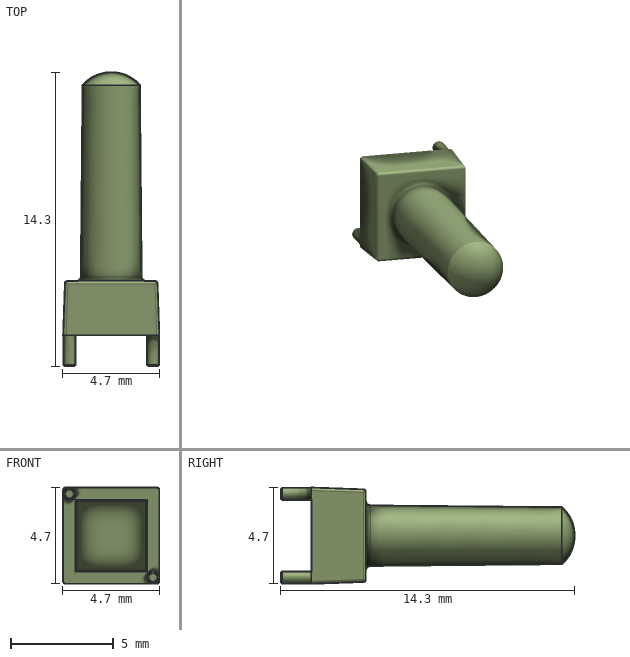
import cadquery as cq
import math

total_length = 14.35
pin_length = 1.5
block_depth = 2.65
block_side = 4.7
block_edge_radius = 0.15
draft_angle = 2.0

pocket_side = 3.5
pocket_depth = 2.15

shaft_tip_radius = 1.4
shaft_base_radius = 1.49
shaft_root_fillet = 0.2
dome_height = 0.65

pin_radius = 0.3
pin_offset = 2.04
pin_tip_chamfer = 0.09

shaft_end = total_length - pin_length
dome_start = shaft_end - dome_height


def drafted_square(side, depth):
    """Square prism from Y = 0 towards +Y, narrowing with the draft angle."""
    start = cq.Workplane("XZ").rect(side, side)
    return start.extrude(-depth, taper=draft_angle)


def make_block():
    block = drafted_square(block_side, block_depth)
    block = block.edges("not(|X or |Z)").fillet(block_edge_radius)
    return block.faces(">Y").edges().fillet(block_edge_radius)


def make_shaft():
    """Tapered round shaft with a domed tip and a concave fillet at its root."""
    dome_radius = (shaft_tip_radius**2 + dome_height**2) / (2 * dome_height)
    dome_center = shaft_end - dome_radius
    half_angle = math.asin(shaft_tip_radius / dome_radius) / 2
    dome_middle = (
        dome_radius * math.sin(half_angle),
        dome_center + dome_radius * math.cos(half_angle),
    )
    fillet_drop = shaft_root_fillet * math.sqrt(0.5)
    root_radius = shaft_base_radius + shaft_root_fillet
    fillet_top = block_depth + shaft_root_fillet
    profile = (
        cq.Workplane("XY")
        .moveTo(0, pocket_depth)
        .lineTo(root_radius, pocket_depth)
        .lineTo(root_radius, block_depth)
        .threePointArc(
            (root_radius - fillet_drop, fillet_top - fillet_drop),
            (shaft_base_radius, fillet_top),
        )
        .lineTo(shaft_tip_radius, dome_start)
        .threePointArc(dome_middle, (0, shaft_end))
        .close()
    )
    return profile.revolve(360, (0, 0, 0), (0, 1, 0))


def make_pins():
    """Two chamfered pins at diagonally opposite corners of the open face."""
    corners = [(-pin_offset, pin_offset), (pin_offset, -pin_offset)]
    pins = cq.Workplane("XZ").pushPoints(corners).circle(pin_radius).extrude(pin_length)
    return pins.faces("<Y").edges().chamfer(pin_tip_chamfer)


pocket = drafted_square(pocket_side, pocket_depth)
result = make_block().union(make_shaft()).cut(pocket).union(make_pins())